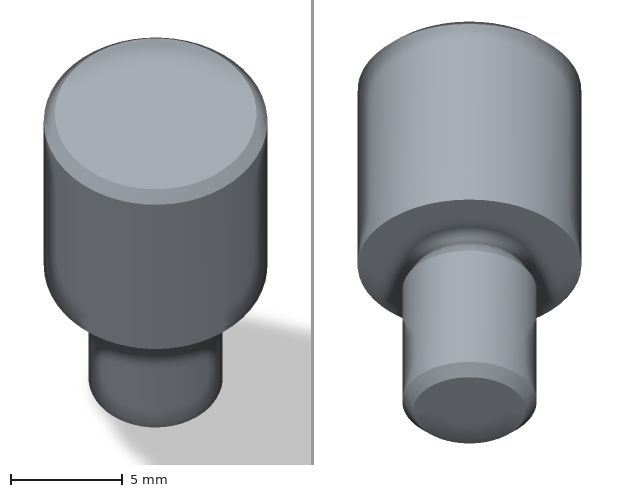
import cadquery as cq
import math

total_height = 18.2
head_diameter = 10.0
head_height = 10.2
shank_diameter = 6.0
head_chamfer = 0.5
shank_chamfer = 0.5

neck_diameter = 5.0
groove_width = 1.36
flank_angle = 30.0
groove_radius = 0.4

head_radius = head_diameter / 2
shank_radius = shank_diameter / 2
neck_radius = neck_diameter / 2
shoulder_z = total_height - head_height
groove_bottom_z = shoulder_z - groove_width

arc_center_x = neck_radius + groove_radius
arc_center_z = shoulder_z - groove_radius


def groove_point(angle):
    """Point on the groove arc; 0 degrees is the neck, positive angles go up."""
    turn = math.radians(angle)
    return (
        arc_center_x - groove_radius * math.cos(turn),
        arc_center_z + groove_radius * math.sin(turn),
    )


profile = (
    cq.Workplane("XZ")
    .moveTo(0, 0)
    .lineTo(shank_radius - shank_chamfer, 0)
    .lineTo(shank_radius, shank_chamfer)
    .lineTo(shank_radius, groove_bottom_z)
    .lineTo(*groove_point(-flank_angle))
    .threePointArc(groove_point(0), groove_point(90))
    .lineTo(head_radius, shoulder_z)
    .lineTo(head_radius, total_height - head_chamfer)
    .lineTo(head_radius - head_chamfer, total_height)
    .lineTo(0, total_height)
    .close()
)
result = profile.revolve(360, (0, 0, 0), (0, 1, 0))